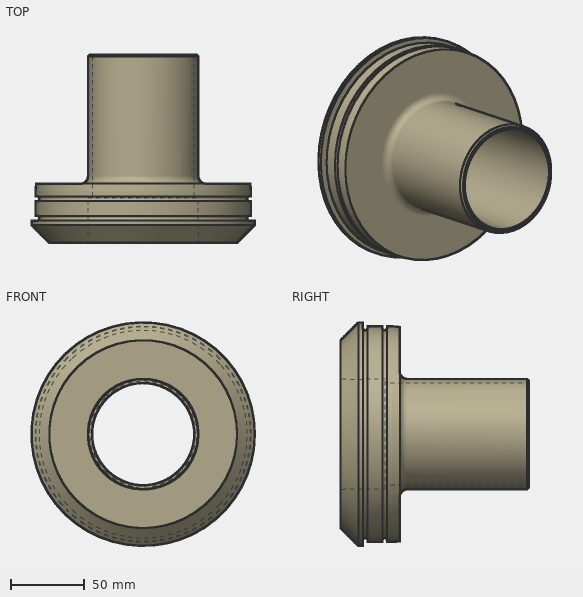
import cadquery as cq

rim_radius = 75.7
rim_chamfer = 12.1
rim_end = 15.1
band_radius = 73.1
groove_width = 3.2
groove_depth = 2.7
band_end = 28.3
taper_start = 35.0
flange_end = 40.1
taper_inset = 0.5

shank_radius = 75.0 / 2
shank_end = 127.6
shank_chamfer = 1.5
root_fillet = 5.0

mouth_radius = 75.0 / 2
mouth_depth = 19.7
seat_radius = 37.2
bore_radius = 69.0 / 2
seat_depth = 30.3


def revolve_about_y(profile):
    return profile.close().revolve(360, (0, 0, 0), (0, 1, 0))


def make_body():
    return revolve_about_y(
        cq.Workplane("XY")
        .moveTo(0, 0)
        .lineTo(rim_radius - rim_chamfer, 0)
        .lineTo(rim_radius, rim_chamfer)
        .lineTo(rim_radius, rim_end)
        .lineTo(band_radius, rim_end)
        .lineTo(band_radius, taper_start)
        .lineTo(band_radius - taper_inset, flange_end)
        .lineTo(shank_radius + root_fillet, flange_end)
        .radiusArc((shank_radius, flange_end + root_fillet), root_fillet)
        .lineTo(shank_radius, shank_end - shank_chamfer)
        .lineTo(shank_radius - shank_chamfer, shank_end)
        .lineTo(0, shank_end)
    )


def make_groove(start):
    """Ring that cuts one groove, with a fully rounded floor."""
    floor_radius = band_radius - groove_depth
    end = start + groove_width
    round_radius = groove_width / 2
    return revolve_about_y(
        cq.Workplane("XY")
        .moveTo(rim_radius, start)
        .lineTo(floor_radius + round_radius, start)
        .threePointArc(
            (floor_radius, start + round_radius),
            (floor_radius + round_radius, end),
        )
        .lineTo(rim_radius, end)
    )


def make_bore():
    return revolve_about_y(
        cq.Workplane("XY")
        .moveTo(0, 0)
        .lineTo(mouth_radius, 0)
        .lineTo(seat_radius, mouth_depth)
        .lineTo(seat_radius, seat_depth)
        .lineTo(bore_radius, seat_depth)
        .lineTo(bore_radius, shank_end)
        .lineTo(0, shank_end)
    )


result = make_body()
for groove_start in (rim_end, band_end):
    result = result.cut(make_groove(groove_start))
result = result.cut(make_bore())